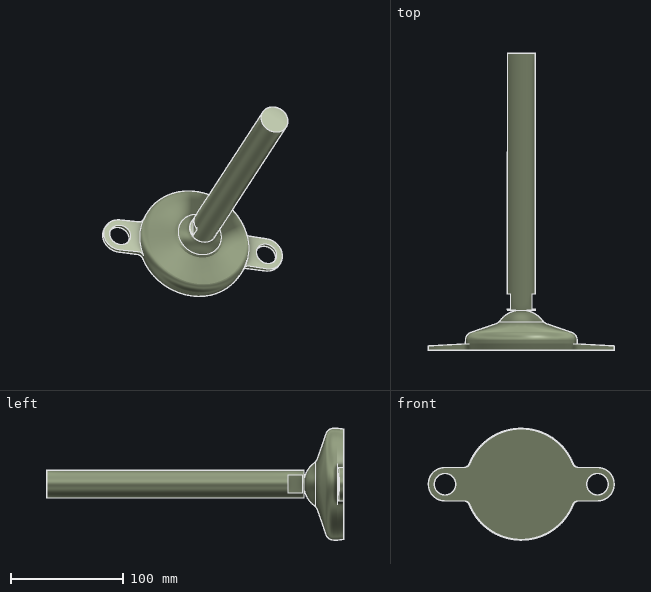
import cadquery as cq
import math


foot_radius = 50.0
sole_radius = 49.3
rim_height = 5.8
wall_top = 9.0
shoulder_radius = 7.5
slope_angle = math.radians(19.0)

dome_radius = 24.0
dome_center_y = 12.0
dome_base_y = 25.3
collar_radius = 22.3

overall_length = 265.0
stem_radius = 12.5
stem_start_y = 35.5
flat_start_y = 37.0
flat_end_y = 50.0
width_across_flats = 19.2

overall_width = 166.0
lug_radius = 15.0
lug_hole_diameter = 19.0
lug_tip_thickness = 4.0
lug_root_fillet = 5.0
height_tolerance = 0.05
lug_tip_x = overall_width / 2
lug_center_x = lug_tip_x - lug_radius


def make_foot_top():
    """Everything from the rim up to the stem, revolved around the Y axis."""
    shoulder_center_r = foot_radius - shoulder_radius

    def on_shoulder(angle):
        return (
            shoulder_center_r + shoulder_radius * math.sin(angle),
            wall_top + shoulder_radius * math.cos(angle),
        )

    slope_start = on_shoulder(slope_angle)
    shoulder_mid = on_shoulder((slope_angle + math.pi / 2) / 2)
    collar_y = slope_start[1] + (slope_start[0] - collar_radius) * math.tan(slope_angle)

    def on_dome(height):
        return (math.sqrt(dome_radius**2 - (height - dome_center_y) ** 2), height)

    profile = (
        cq.Workplane("XY")
        .moveTo(0, rim_height)
        .lineTo(foot_radius, rim_height)
        .lineTo(foot_radius, wall_top)
        .threePointArc(shoulder_mid, slope_start)
        .lineTo(collar_radius, collar_y)
        .lineTo(*on_dome(dome_base_y))
        .threePointArc(on_dome((dome_base_y + stem_start_y) / 2), on_dome(stem_start_y))
        .lineTo(0, stem_start_y)
        .close()
    )
    return profile.revolve(360, (0, 0, 0), (0, 1, 0))


def make_stem():
    """Round stem with two opposite wrench flats facing +X and -X."""
    stem = (
        cq.Workplane("XZ", origin=(0, stem_start_y, 0))
        .circle(stem_radius)
        .extrude(-(overall_length - stem_start_y))
    )
    flat_length = flat_end_y - flat_start_y
    flat_middle_y = (flat_start_y + flat_end_y) / 2
    flat_depth = stem_radius - width_across_flats / 2
    flat_middle_x = stem_radius - flat_depth / 2
    flats = (
        cq.Workplane("XY")
        .pushPoints([(-flat_middle_x, flat_middle_y), (flat_middle_x, flat_middle_y)])
        .rect(flat_depth, flat_length)
        .extrude(stem_radius, both=True)
    )
    return stem.cut(flats)


def make_base():
    """Tapered rim with both lugs, rounded at the lug roots and thinning to the lug tips."""
    rim = (
        cq.Workplane("XZ")
        .circle(sole_radius)
        .workplane(offset=-rim_height)
        .circle(foot_radius)
        .loft()
    )
    strip = cq.Workplane("XZ").slot2D(overall_width, 2 * lug_radius).extrude(-rim_height)

    joined = rim.union(strip)
    roots = []
    for edge in joined.edges().vals():
        center = edge.Center()
        runs_up_the_side = math.isclose(center.y, rim_height / 2, rel_tol=height_tolerance)
        if runs_up_the_side and abs(center.x) < foot_radius:
            roots.append(edge)
    base = joined.newObject(roots).fillet(lug_root_fillet)

    wedge = (
        cq.Workplane("XY")
        .polyline(
            [
                (-lug_tip_x, 0),
                (lug_tip_x, 0),
                (lug_tip_x, lug_tip_thickness),
                (foot_radius, rim_height),
                (-foot_radius, rim_height),
                (-lug_tip_x, lug_tip_thickness),
            ]
        )
        .close()
        .extrude(foot_radius, both=True)
    )
    holes = (
        cq.Workplane("XZ")
        .pushPoints([(-lug_center_x, 0), (lug_center_x, 0)])
        .circle(lug_hole_diameter / 2)
        .extrude(-rim_height)
    )
    return base.intersect(wedge).cut(holes)


result = make_base().union(make_foot_top()).union(make_stem())